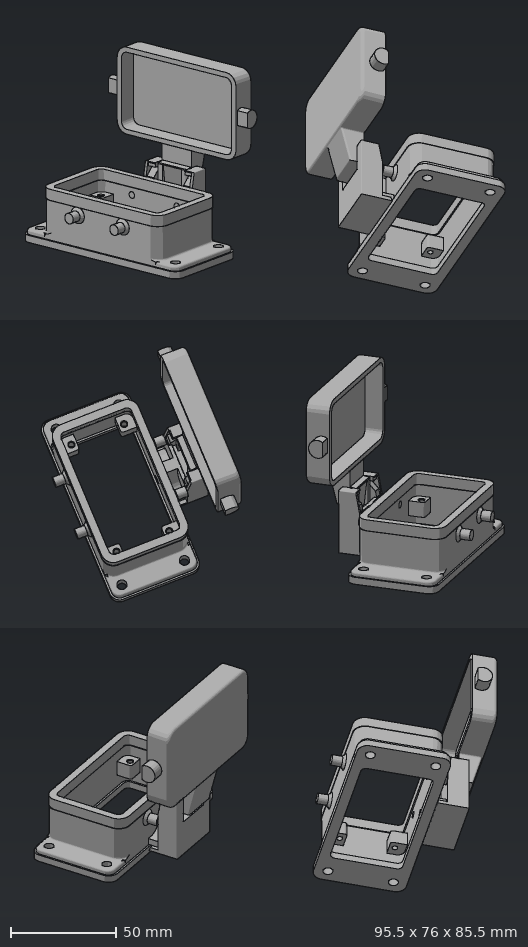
import cadquery as cq
import math

joint_overlap = 1.0

plate_length = 95.5
plate_width = 45.5
plate_height = 3.6
plate_corner = 5.0

step_inset = 0.9
step_height = 6.0
step_edge_round = 1.2

wall_length = 72.5
wall_width = 43.5
wall_corner = 6.0
wall_foot_round = 1.1

rim_length = 73.0
rim_width = 43.9
rim_bottom = 23.4
rim_top = 29.0

base_opening = (64.0, 35.3)
rim_opening = (65.0, 36.1)
inside_length = 66.0
inside_width = 37.4
opening_corner = 2.5
inside_corner = 3.5

mount_hole_spacing = (83.0, 32.0)
mount_hole_diameter = 4.7

post_inner = (24.95, 10.65)
post_bottom = 10.0
post_top = 17.5
post_corner = 1.2
post_hole_spacing = (57.0, 27.0)
post_hole_diameter = 2.6
post_countersink = 3.4

peg_x = 13.8
peg_z = 19.4
peg_diameter = 5.2
peg_tip = 28.25
peg_cone_diameter = 8.1
peg_cone_height = (peg_cone_diameter - peg_diameter) / 2

rivet_z = 7.5
rivet_diameter = 4.2
stud_diameter = 3.3

bracket_front = peg_tip
bracket_back = 39.05
bracket_bottom = 2.05
bracket_top = 33.5
bracket_half_width = 15.0
bracket_edge = 0.4
cheek_front_top = 30.25
slot_half_width = 9.15
front_wall_top = 23.2
front_wall_back = 30.1
slit_bottom = 20.0

pocket_outer = 13.4
recess_top = 33.0
recess_depth = 0.6
pocket_back = 33.5
pocket_top = 31.2
pocket_floor_back = 30.3
pocket_floor_front = 25.0

foot_top = 4.0
foot_bevel = 0.8
foot_end = 23.3

web_half_width = 2.85
web_arc_top = 14.9
web_arc_radius = 7.7
web_base_half_width = 13.0

lid_length = 73.0
lid_height = 43.5
lid_depth = 12.5
lid_top = 85.5
lid_bottom = lid_top - lid_height
lid_middle = (lid_top + lid_bottom) / 2
lid_corner = 6.0
lid_back_round = 1.9
lid_side_wall = 2.75
lid_end_wall = 2.5
lid_cavity_depth = 9.0
lid_cavity_corner = 3.5
lid_front = 35.25

latch_span = 85.5
latch_diameter = 9.0
latch_axis = 3.75
latch_flat = 1.15

arm_front = lid_front + 0.2
arm_bottom = 24.5
arm_bottom_back = 42.4
arm_top_back = 46.9
arm_back_round = 0.9
arm_joint_round = 0.8

knuckle_front = 32.0
knuckle_top_front = 33.2
knuckle_top_back = 33.7
knuckle_edge = 0.4
knuckle_side_round = 0.9
panel_half_width = 5.85
panel_top = 32.8
panel_depth_top = 0.5
panel_depth_bottom = 2.0
panel_corner = 0.5


def rounded_block(length, width, bottom, top, corner):
    """Upright block centred on the Z axis with rounded vertical edges."""
    block = cq.Workplane("XY").box(length, width, top - bottom, centered=(True, True, False))
    return block.edges("|Z").fillet(corner).translate((0, 0, bottom))


def box_between(x_range, y_range, z_range):
    sizes = [high - low for low, high in (x_range, y_range, z_range)]
    corner = (x_range[0], y_range[0], z_range[0])
    return cq.Workplane("XY").box(*sizes, centered=False).translate(corner)


def rod_along_y(x, z, diameter, y_start, y_end):
    rod = cq.Solid.makeCylinder(diameter / 2, y_end - y_start, cq.Vector(x, y_start, z), cq.Vector(0, 1, 0))
    return cq.Workplane(rod)


def side_profile(points, half_width):
    """Outline in the YZ plane, extruded equally to both sides of X = 0."""
    return cq.Workplane("YZ").polyline(points).close().extrude(half_width, both=True)


def flat_edge_box(half_length, y_low, y_high, level):
    """Selector for the edges that lie at one level, within a rectangle symmetric about X = 0."""
    margin = 0.1
    return cq.selectors.BoxSelector(
        (-half_length - margin, y_low - margin, level - margin),
        (half_length + margin, y_high + margin, level + margin),
    )


def housing_shell():
    step_length = plate_length - 2 * step_inset
    plate = rounded_block(plate_length, plate_width, 0, plate_height, plate_corner)
    step = rounded_block(step_length, wall_width, plate_height, step_height, plate_corner - step_inset)
    step = step.faces(">Z").edges().fillet(step_edge_round)
    foot_reach = math.sqrt((wall_corner + wall_foot_round) ** 2 - wall_corner ** 2)
    square_half_length = wall_length / 2 - wall_corner + foot_reach
    square_step = box_between(
        (-square_half_length, square_half_length),
        (-wall_width / 2, wall_width / 2),
        (plate_height, step_height),
    )
    wall = rounded_block(wall_length, wall_width, plate_height, rim_bottom, wall_corner)
    rim = rounded_block(rim_length, rim_width, rim_bottom, rim_top, wall_corner)
    return plate.union(step).union(square_step).union(wall).union(rim).union(wall_foot())


def wall_foot():
    """Concave round where the two ends of the wall meet the step."""
    round_top = step_height + wall_foot_round
    ground = cq.Workplane("XY").box(plate_length, 2 * plate_width, step_height, centered=(True, True, False))
    wall = rounded_block(wall_length, wall_width, step_height, rim_bottom, wall_corner)
    blended = ground.union(wall)
    foot_loop = flat_edge_box(wall_length / 2, -wall_width / 2, wall_width / 2, step_height)
    blended = blended.edges(foot_loop).fillet(wall_foot_round)
    return blended.intersect(
        box_between((-wall_length, wall_length), (-wall_width / 2, wall_width / 2), (step_height, round_top))
    )


def insert_posts():
    """Four corner posts with countersunk screw holes, reaching a little into the walls."""
    posts = cq.Workplane("XY")
    length = inside_length / 2 + joint_overlap - post_inner[0]
    width = inside_width / 2 + joint_overlap - post_inner[1]
    for side_x in (-1, 1):
        for side_y in (-1, 1):
            post = rounded_block(length, width, post_bottom, post_top, post_corner)
            center_x = side_x * (post_inner[0] + length / 2)
            center_y = side_y * (post_inner[1] + width / 2)
            posts = posts.union(post.translate((center_x, center_y, 0)))
    hole_centers = cq.Workplane("XY", origin=(0, 0, post_top)).rect(*post_hole_spacing, forConstruction=True)
    for center in hole_centers.vertices().vals():
        posts = posts.cut(countersunk_hole().translate(center.Center()))
    return posts


def countersunk_hole():
    """Cutter for one post hole, with its top end at the origin."""
    sink_depth = (post_countersink - post_hole_diameter) / 2
    outline = [
        (0, 0), (post_countersink / 2, 0), (post_hole_diameter / 2, -sink_depth),
        (post_hole_diameter / 2, post_bottom - post_top), (0, post_bottom - post_top),
    ]
    return cq.Workplane("XZ").polyline(outline).close().revolve(360, (0, 0, 0), (0, 1, 0))


def peg(x, side):
    """Locking peg with a conical foot; side is -1 for the front wall and 1 for the rear wall."""
    wall_face = wall_width / 2
    root = wall_face - joint_overlap
    cone_end = wall_face + peg_cone_height
    outline = [
        (0, root), (peg_cone_diameter / 2, root), (peg_cone_diameter / 2, wall_face),
        (peg_diameter / 2, cone_end), (peg_diameter / 2, peg_tip), (0, peg_tip),
    ]
    turned = cq.Workplane("XY").polyline(outline).close().revolve(360, (0, 0, 0), (0, 1, 0))
    if side < 0:
        turned = turned.mirror("XZ")
    return turned.translate((x, 0, peg_z))


def wall_studs():
    """Rivet and two studs of the cover that fill the holes in the rear wall and rear pegs."""
    studs = rod_along_y(0, rivet_z, rivet_diameter, inside_width / 2, wall_width / 2)
    for x in (-peg_x, peg_x):
        studs = studs.add(rod_along_y(x, peg_z, stud_diameter, inside_width / 2, peg_tip))
    return studs


def housing():
    body = housing_shell()
    for x in (-peg_x, peg_x):
        for side in (-1, 1):
            body = body.union(peg(x, side))
    body = body.cut(rounded_block(*base_opening, 0, plate_height, opening_corner))
    body = body.cut(rounded_block(inside_length, inside_width, plate_height, rim_bottom, inside_corner))
    body = body.cut(rounded_block(*rim_opening, rim_bottom, rim_top, opening_corner))
    body = body.union(insert_posts())
    mount_holes = cq.Workplane("XY").rect(*mount_hole_spacing, forConstruction=True).vertices()
    body = body.cut(mount_holes.circle(mount_hole_diameter / 2).extrude(step_height))
    for stud in wall_studs().vals():
        body = body.cut(cq.Workplane(stud))
    return body


def lid_outline(length, height, corner, y_front, y_back):
    block = cq.Workplane("XY").box(length, y_back - y_front, height)
    block = block.edges("|Y").fillet(corner)
    return block.translate((0, (y_front + y_back) / 2, lid_middle))


def lid():
    body = lid_outline(lid_length, lid_height, lid_corner, lid_front, lid_front + lid_depth)
    body = body.faces(">Y").edges().fillet(lid_back_round)
    cavity = lid_outline(
        lid_length - 2 * lid_side_wall, lid_height - 2 * lid_end_wall, lid_cavity_corner,
        lid_front, lid_front + lid_cavity_depth,
    )
    return body.union(latch_lug(-1)).union(latch_lug(1)).cut(cavity)


def latch_lug(side):
    """D-shaped lug on one end of the lid."""
    length = (latch_span - lid_length) / 2 + joint_overlap
    lug = cq.Workplane("YZ").center(lid_front + latch_axis, lid_middle)
    lug = lug.circle(latch_diameter / 2).extrude(length)
    lug = lug.cut(box_between(
        (0, length), (lid_front - latch_diameter, lid_front + latch_flat),
        (lid_middle - latch_diameter, lid_middle + latch_diameter),
    ))
    return lug.translate((side * (latch_span - length) / 2 - length / 2, 0, 0))


def arm():
    """Arm from the lid down into the bracket, ending in a knuckle between the cheeks."""
    joint = lid_bottom + joint_overlap
    back_slope = (arm_top_back - arm_bottom_back) / (lid_bottom - arm_bottom)
    body = side_profile(
        [
            (arm_front, joint), (arm_top_back + back_slope * joint_overlap, joint),
            (arm_bottom_back, arm_bottom), (arm_front, arm_bottom),
        ],
        slot_half_width,
    )
    body = body.faces("not (|X or |Y or |Z)").edges("not >Z").fillet(arm_back_round)
    knuckle = side_profile(
        [
            (arm_front, knuckle_top_back), (knuckle_front, knuckle_top_front),
            (knuckle_front, slit_bottom), (arm_front, slit_bottom),
        ],
        slot_half_width,
    )
    knuckle = knuckle.faces("<Y").edges("|Z").fillet(knuckle_side_round)
    knuckle = knuckle.faces("<Y").edges(">Z").chamfer(knuckle_edge)
    panel = side_profile(
        [
            (knuckle_front, panel_top), (knuckle_front + panel_depth_top, panel_top),
            (knuckle_front + panel_depth_bottom, slit_bottom), (knuckle_front, slit_bottom),
        ],
        panel_half_width,
    )
    panel = panel.edges("|Y and >Z").fillet(panel_corner)
    return body.union(knuckle).cut(panel)


def bracket():
    body = side_profile(
        [
            (bracket_back, bracket_bottom), (foot_end, bracket_bottom),
            (foot_end + foot_bevel, foot_top), (bracket_front, foot_top),
            (bracket_front, front_wall_top), (cheek_front_top, bracket_top), (bracket_back, bracket_top),
        ],
        bracket_half_width,
    )
    body = body.edges("(>X or <X) and (>Y or >Z)").fillet(bracket_edge)
    slot = box_between(
        (-slot_half_width, slot_half_width), (front_wall_back, bracket_back), (slit_bottom, bracket_top)
    )
    notch = box_between(
        (-slot_half_width, slot_half_width), (bracket_front, bracket_back), (front_wall_top, bracket_top)
    )
    return body.cut(slot).cut(notch).cut(cheek_pocket(-1)).cut(cheek_pocket(1))


def cheek_pocket(side):
    """Shallow recess in the leaning front of one cheek, with a deeper pocket that has a sloping floor."""
    width = pocket_outer - slot_half_width
    recess = side_profile(
        [
            (bracket_front, front_wall_top), (bracket_front, recess_top),
            (cheek_front_top + recess_depth, recess_top),
            (bracket_front + recess_depth, front_wall_top),
        ],
        width / 2,
    )
    pocket = side_profile(
        [
            (bracket_front, pocket_top), (pocket_back, pocket_top),
            (pocket_back, pocket_floor_back), (bracket_front, pocket_floor_front),
        ],
        width / 2,
    )
    return recess.union(pocket).translate((side * (slot_half_width + width / 2), 0, 0))


def web():
    """Web between bracket and housing, flaring out with concave arcs to a wide base."""
    arc_x = web_half_width + web_arc_radius
    arc_bottom = web_arc_top - web_arc_radius
    sag = web_arc_radius * math.sqrt(0.5)
    outline = (
        cq.Workplane("XZ", origin=(0, bracket_front, 0))
        .moveTo(0, front_wall_top).lineTo(web_half_width, front_wall_top)
        .lineTo(web_half_width, web_arc_top)
        .threePointArc((arc_x - sag, web_arc_top - sag), (arc_x, arc_bottom))
        .lineTo(web_base_half_width, arc_bottom).lineTo(web_base_half_width, foot_top).lineTo(0, foot_top)
        .close()
    )
    half = outline.extrude(bracket_front - wall_width / 2)
    return half.union(half.mirror("YZ"))


def cover():
    body = lid().union(arm())
    joint_edges = flat_edge_box(slot_half_width, lid_front, lid_front + lid_depth, lid_bottom)
    body = body.edges("|Y").edges(joint_edges).fillet(arm_joint_round)
    body = body.union(bracket()).union(web())
    for stud in wall_studs().vals():
        body = body.union(cq.Workplane(stud))
    return body


result = cq.Compound.makeCompound([housing().val(), cover().val()])